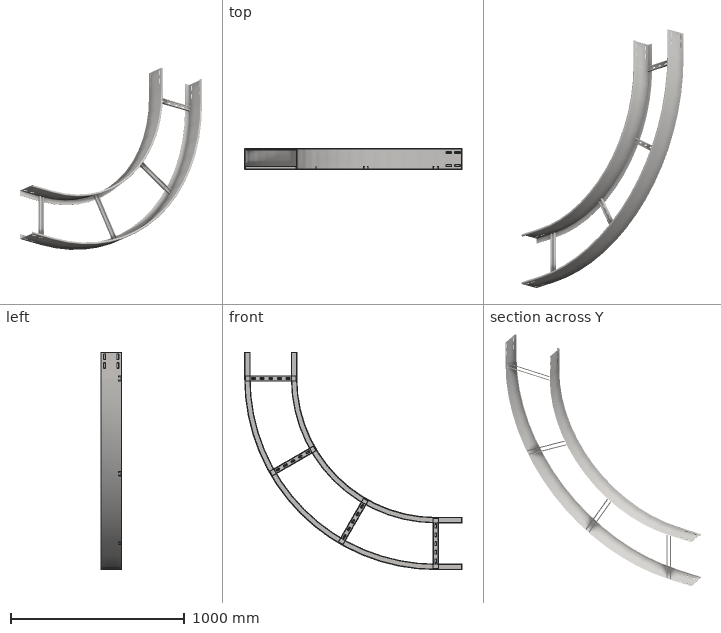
import cadquery as cq
import math

bend_angle = 90.0
tray_width = 300.0
outer_radius = 1100.0
inner_radius = outer_radius - tray_width
straight_length = 150.0

rail_height = 120.0
rail_sheet = 2.0
rail_fold = 4.0
front_flange = 31.0
back_flange = 12.0
back_return = 9.0

end_slot_length = 30.0
end_slot_width = 8.5
end_slot_from_end = 25.0
end_slot_pitch = 50.0
end_slot_count = 2
end_slot_from_edge = 22.5

rung_count = 4
rung_width = 30.0
rung_depth = 15.0
rung_lip = 6.0
rung_sheet = 1.5
rung_fold = 2.0
rung_end_gap = 3.0
rung_slot_length = 20.0
rung_slot_width = 7.0
rung_slot_pitch = 50.0
rung_slot_count = 5


def unit(start, end):
    length = math.dist(start, end)
    return ((end[0] - start[0]) / length, (end[1] - start[1]) / length)


def shift(point, amount, *directions):
    x, y = point
    for dx, dy in directions:
        x += amount * dx
        y += amount * dy
    return (x, y)


def add_fold(section, corner, arriving, leaving, radius):
    """Continue the section to a right-angled corner and round it."""
    middle = shift(corner, radius * (1 - math.sqrt(0.5)), arriving, leaving)
    section = section.lineTo(*shift(corner, radius, arriving))
    return section.threePointArc(middle, shift(corner, radius, leaving))


def folded_section(plane, path, sheet, fold):
    """Section of a sheet folded at right angles, always the same way.

    The path runs along the outside of the sheet with sharp corners; fold is the outer fold radius.
    """
    corners = [
        (path[i], unit(path[i], path[i - 1]), unit(path[i], path[i + 1]))
        for i in range(1, len(path) - 1)
    ]
    start_normal = corners[0][2]
    end_normal = corners[-1][1]

    section = cq.Workplane(plane).moveTo(*path[0])
    for corner, back, ahead in corners:
        section = add_fold(section, corner, back, ahead, fold)
    section = section.lineTo(*path[-1]).lineTo(*shift(path[-1], sheet, end_normal))
    for corner, back, ahead in reversed(corners):
        inner_corner = shift(corner, sheet, back, ahead)
        section = add_fold(section, inner_corner, ahead, back, fold - sheet)
    return section.lineTo(*shift(path[0], sheet, start_normal)).close()


def rail_section(web_radius, inward):
    """Rail section at the top of the bend; inward is the X direction in which the flanges point."""
    web = -web_radius
    path = [
        (web + inward * front_flange, 0),
        (web, 0),
        (web, rail_height),
        (web + inward * back_flange, rail_height),
        (web + inward * back_flange, rail_height - back_return),
    ]
    return folded_section("XY", path, rail_sheet, rail_fold)


def straight_run(web_radius, inward):
    """Straight run above the top of the bend, with its connection slots through the web."""
    run = rail_section(web_radius, inward).extrude(straight_length)
    spots = [
        (y, straight_length - end_slot_from_end - i * end_slot_pitch)
        for y in (end_slot_from_edge, rail_height - end_slot_from_edge)
        for i in range(end_slot_count)
    ]
    slots = (
        cq.Workplane("YZ", origin=(-web_radius, 0, 0))
        .pushPoints(spots)
        .rect(end_slot_width, end_slot_length)
        .extrude(rail_sheet, both=True)
    )
    return run.cut(slots)


def make_rail(web_radius, inward):
    bend = rail_section(web_radius, inward).revolve(bend_angle, (0, 0, 0), (0, -1, 0))
    upper_run = straight_run(web_radius, inward)
    lower_run = upper_run.mirror("XY").rotate((0, 0, 0), (0, 1, 0), -bend_angle)
    return bend.union(upper_run, clean=False).union(lower_run, clean=False)


def make_rung(angle):
    """Rung at an angle from the top of the bend."""
    half = rung_width / 2
    front = rail_sheet
    back = front + rung_depth
    path = [
        (back, half - rung_lip),
        (back, half),
        (front, half),
        (front, -half),
        (back, -half),
        (back, -half + rung_lip),
    ]
    end_space = rail_sheet + rung_end_gap
    end_plane = cq.Plane(origin=(-outer_radius + end_space, 0, 0), xDir=(0, 1, 0), normal=(1, 0, 0))
    rung = folded_section(end_plane, path, rung_sheet, rung_fold).extrude(tray_width - 2 * end_space)
    slots = (
        cq.Workplane("XZ", origin=(-(outer_radius + inner_radius) / 2, front + rung_sheet, 0))
        .rarray(rung_slot_pitch, 1, rung_slot_count, 1)
        .rect(rung_slot_length, rung_slot_width)
        .extrude(rung_sheet)
    )
    return rung.cut(slots).rotate((0, 0, 0), (0, 1, 0), -angle)


outer_rail = make_rail(outer_radius, 1)
inner_rail = make_rail(inner_radius, -1)
rungs = [make_rung(i * bend_angle / (rung_count - 1)) for i in range(rung_count)]

result = cq.Compound.makeCompound([outer_rail.val(), inner_rail.val(), *[rung.val() for rung in rungs]])